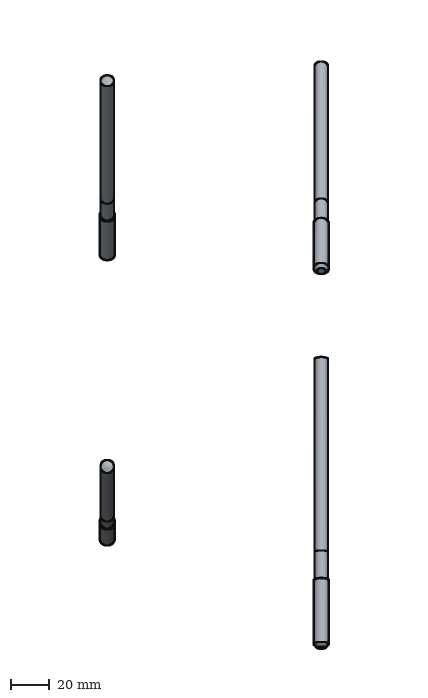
import cadquery as cq

TOTAL_LENGTH = 156.0
SHANK_RADIUS = 8.0 / 2
ROD_RADIUS = 7.0 / 2

END_RADIUS = 2.2
END_TAPER_HEIGHT = 2.0
SHOULDER_BASE = 36.0
SHOULDER_HEIGHT = 0.5
NECK_TOP = 51.2

POINT_HEIGHT = 1.2


def revolve_profile(points):
    """Turn a closed outline of (radius, height) points about the Z axis."""
    return cq.Workplane("XZ").polyline(points).close().revolve(360, (0, 0), (0, 1))


def make_shank():
    return revolve_profile([
        (0, 0),
        (END_RADIUS, 0),
        (SHANK_RADIUS, END_TAPER_HEIGHT),
        (SHANK_RADIUS, SHOULDER_BASE),
        (ROD_RADIUS, SHOULDER_BASE + SHOULDER_HEIGHT),
        (ROD_RADIUS, NECK_TOP),
        (0, NECK_TOP),
    ])


def make_rod():
    """Rod standing end to end on the neck of the shank."""
    return revolve_profile([
        (0, NECK_TOP),
        (ROD_RADIUS, NECK_TOP),
        (ROD_RADIUS, TOTAL_LENGTH - POINT_HEIGHT),
        (0, TOTAL_LENGTH),
    ])


shank = make_shank()
rod = make_rod()

result = cq.Compound.makeCompound([shank.val(), rod.val()])